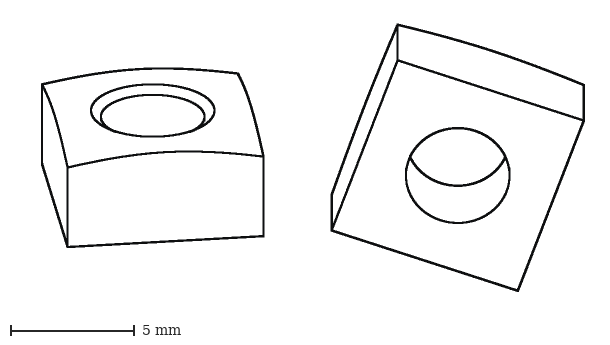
import cadquery as cq
import math

corner_width = 11.31
height = 4.0
bore_diameter = 4.2
sink_diameter = 5.0
sink_angle = 35.0
crown_angle = 15.0

flat_width = corner_width / math.sqrt(2)
corner_radius = corner_width / 2
crown_radius = flat_width / 2
crown_drop = (corner_radius - crown_radius) * math.tan(math.radians(crown_angle))
bore_radius = bore_diameter / 2
sink_radius = sink_diameter / 2
sink_depth = (sink_radius - bore_radius) * math.tan(math.radians(sink_angle))


def square_block():
    """Square prism with its corners on the X and Y axes."""
    return cq.Workplane("XY").polygon(4, corner_width).extrude(height)


def crown_envelope():
    """Cylinder through the corners, topped by the shallow chamfer cone."""
    profile = (
        cq.Workplane("XZ")
        .lineTo(corner_radius, 0)
        .lineTo(corner_radius, height - crown_drop)
        .lineTo(crown_radius, height)
        .lineTo(0, height)
        .close()
    )
    return profile.revolve(360, (0, 0, 0), (0, 1, 0))


def countersunk_bore():
    """Through bore that widens to the countersink at the top face."""
    profile = (
        cq.Workplane("XZ")
        .lineTo(bore_radius, 0)
        .lineTo(bore_radius, height - sink_depth)
        .lineTo(sink_radius, height)
        .lineTo(0, height)
        .close()
    )
    return profile.revolve(360, (0, 0, 0), (0, 1, 0))


result = square_block().intersect(crown_envelope()).cut(countersunk_bore())